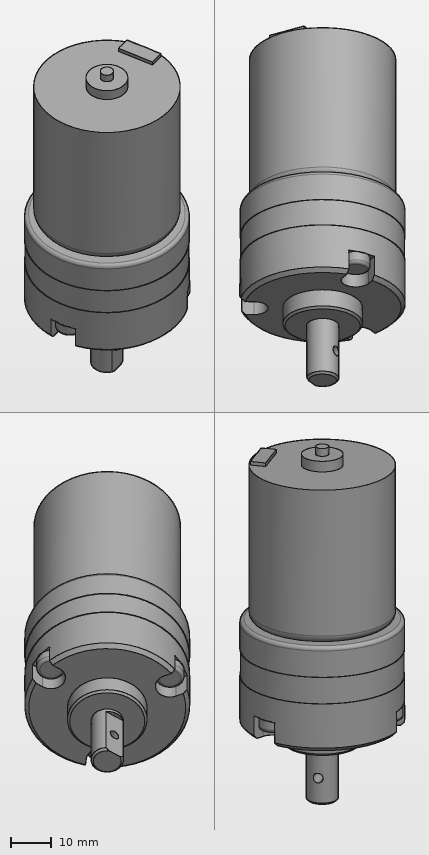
import cadquery as cq

TOTAL_HEIGHT = 92.5
PILOT_BOTTOM = 15.0
HOUSING_BOTTOM = 20.0
RING_BOTTOM = 32.6
CAP_BOTTOM = 39.5
MOTOR_BOTTOM = 47.45
MOTOR_TOP = 87.7
BOSS_TOP = 90.5

GEARBOX_DIAMETER = 40.5
RING_DIAMETER = 40.2
CAP_FILLET = 1.0
HOUSING_CHAMFER = 1.0
PILOT_DIAMETER = 19.5
PILOT_CHAMFER = 0.6

SHAFT_DIAMETER = 8.0
SHAFT_CHAMFER = 0.6
SHAFT_FLAT_X = 3.05
SHAFT_FLAT_LENGTH = 14.1
CROSS_HOLE_DIAMETER = 2.5
CROSS_HOLE_HEIGHT = 7.0

SCREW_COUNT = 3
FIRST_SCREW_ANGLE = -90.0
SCREW_REACH = 20.4
HEAD_DIAMETER = 7.0
HEAD_HEIGHT = 3.1
HEAD_FILLET = 0.8
SLOT_WIDTH = 7.1
SLOT_TOP = 26.2
SCREW_RADIUS = SCREW_REACH - HEAD_DIAMETER / 2

MOTOR_DIAMETER = 36.0
MOTOR_FILLET = 2.0
BOSS_DIAMETER = 10.3
REAR_SHAFT_DIAMETER = 3.2

TERMINAL_WIDTH = 9.9
TERMINAL_DEPTH = 3.9
TERMINAL_HEIGHT = 0.9
TERMINAL_CENTER_Y = 15.0


def cylinder(diameter, bottom, top):
    """Upright cylinder on the Z axis between two heights."""
    return cq.Workplane("XY").workplane(offset=bottom).circle(diameter / 2).extrude(top - bottom)


def at_screw(shape, index):
    """Turn a shape made on the +X axis to one of the screw positions."""
    angle = FIRST_SCREW_ANGLE + index * 360 / SCREW_COUNT
    return shape.rotate((0, 0, 0), (0, 0, 1), angle)


def make_screw_slot():
    """Round-ended slot, open to the side and to the bottom of the housing."""
    depth = SLOT_TOP - HOUSING_BOTTOM
    base = cq.Workplane("XY").workplane(offset=HOUSING_BOTTOM).center(SCREW_RADIUS, 0)
    round_end = base.circle(SLOT_WIDTH / 2).extrude(depth)
    open_end = cq.Workplane("XY").box(GEARBOX_DIAMETER, SLOT_WIDTH, depth, centered=(False, True, False))
    return round_end.union(open_end.translate((SCREW_RADIUS, 0, HOUSING_BOTTOM)))


def make_screw_head():
    """Screw head seated against the top of its slot, rounded on its free edge."""
    base = cq.Workplane("XY").workplane(offset=SLOT_TOP - HEAD_HEIGHT)
    head = base.center(SCREW_RADIUS, 0).circle(HEAD_DIAMETER / 2).extrude(HEAD_HEIGHT)
    return head.faces("<Z").edges().fillet(HEAD_FILLET)


def make_housing():
    """Gearbox front housing with its pilot, shaft bore and screw slots."""
    body = cylinder(GEARBOX_DIAMETER, HOUSING_BOTTOM, RING_BOTTOM)
    body = body.faces("<Z").edges().chamfer(HOUSING_CHAMFER)
    pilot = cylinder(PILOT_DIAMETER, PILOT_BOTTOM, HOUSING_BOTTOM)
    pilot = pilot.faces("<Z").edges().chamfer(PILOT_CHAMFER)
    slot = make_screw_slot()
    for index in range(SCREW_COUNT):
        body = body.cut(at_screw(slot, index))
    bore = cylinder(SHAFT_DIAMETER, PILOT_BOTTOM, RING_BOTTOM)
    return body.union(pilot).cut(bore)


def make_shaft():
    """Output shaft with a flat on its +X side and a cross hole along X."""
    shaft = cylinder(SHAFT_DIAMETER, 0, RING_BOTTOM)
    shaft = shaft.faces("<Z").edges().chamfer(SHAFT_CHAMFER)
    flat = cq.Workplane("XY").box(
        SHAFT_DIAMETER, SHAFT_DIAMETER, SHAFT_FLAT_LENGTH, centered=(False, True, False)
    )
    cross_hole = (
        cq.Workplane("YZ")
        .center(0, CROSS_HOLE_HEIGHT)
        .circle(CROSS_HOLE_DIAMETER / 2)
        .extrude(SHAFT_DIAMETER, both=True)
    )
    return shaft.cut(flat.translate((SHAFT_FLAT_X, 0, 0))).cut(cross_hole)


def make_ring():
    """Middle ring of the gearbox."""
    return cylinder(RING_DIAMETER, RING_BOTTOM, CAP_BOTTOM)


def make_cap():
    """Gearbox cap on the motor side, rounded on its upper edge."""
    return cylinder(GEARBOX_DIAMETER, CAP_BOTTOM, MOTOR_BOTTOM).faces(">Z").edges().fillet(CAP_FILLET)


def make_motor():
    """Motor can with its rear boss and the rear end of its shaft."""
    can = cylinder(MOTOR_DIAMETER, MOTOR_BOTTOM, MOTOR_TOP)
    can = can.faces("<Z").edges().fillet(MOTOR_FILLET)
    boss = cylinder(BOSS_DIAMETER, MOTOR_TOP, BOSS_TOP)
    rear_shaft = cylinder(REAR_SHAFT_DIAMETER, BOSS_TOP, TOTAL_HEIGHT)
    return can.union(boss).union(rear_shaft)


def make_terminal():
    """Flat terminal block resting on the rear face of the motor."""
    block = cq.Workplane("XY").box(
        TERMINAL_WIDTH, TERMINAL_DEPTH, TERMINAL_HEIGHT, centered=(True, True, False)
    )
    return block.translate((0, TERMINAL_CENTER_Y, MOTOR_TOP))


housing = make_housing()
shaft = make_shaft()
ring = make_ring()
cap = make_cap()
motor = make_motor()
terminal = make_terminal()
screw_heads = [at_screw(make_screw_head(), index).val() for index in range(SCREW_COUNT)]

result = cq.Compound.makeCompound([
    housing.val(),
    shaft.val(),
    ring.val(),
    cap.val(),
    motor.val(),
    terminal.val(),
    *screw_heads,
])